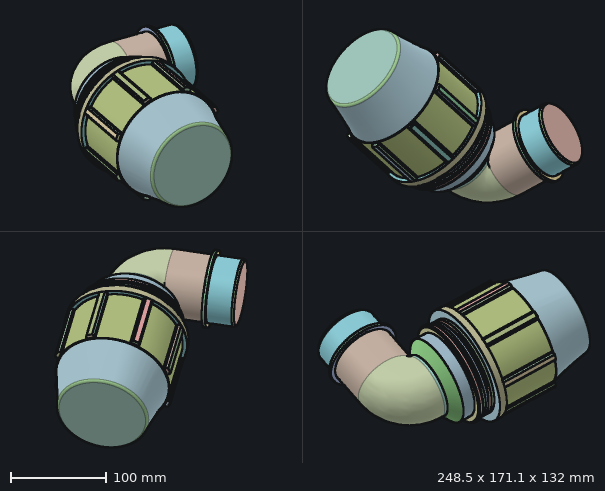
import cadquery as cq
import math


pipe_radius = 72.3 / 2
outlet_end = 105.1
outlet_chamfer_length = 2.5
outlet_chamfer_depth = 1.5
outlet_flange_radius = 83.0 / 2
outlet_flange_start = 71.8
outlet_flange_width = 3.5

bend_radius = 29.0

cone_start = 32.8
cone_end = 44.0
collar_radius = 99.0 / 2
lock_ring_start = 58.2
lock_ring_width = 6.7
lock_ring_radius = 114.8 / 2
lock_ring_chamfer = 1.5
thread_radius = 111.3 / 2
thread_starts = (68.0, 75.5)
thread_width = 3.5

nut_start = 79.0
nut_flange_radius = 132.0 / 2
nut_flange_width = 8.7
grip_start = nut_start + nut_flange_width
grip_radius = 61.1
grip_end = 154.3
nut_end = 248.5 - outlet_flange_radius
nut_end_radius = 49.0
taper_start_radius = 60.5
taper_sag = 0.7
nut_end_fillet = 3.0

rib_count = 8
rib_tip_width = 6.5
rib_root_width = 10.0
rib_shoulder_radius = 63.0
rib_tip_radius = nut_flange_radius - 0.2
rib_root_radius = grip_radius - 2.5
rib_end = grip_end - 1.0


def disc_x(start, width, radius):
    return cq.Workplane("YZ").workplane(offset=start).circle(radius).extrude(width)


def disc_y(start, width, radius):
    return cq.Workplane("XZ").workplane(offset=-start).circle(radius).extrude(-width)


def make_outlet():
    barrel_end = outlet_end - outlet_chamfer_length
    profile = (
        cq.Workplane("XY")
        .moveTo(0, bend_radius)
        .lineTo(pipe_radius, bend_radius)
        .lineTo(pipe_radius, barrel_end)
        .lineTo(pipe_radius - outlet_chamfer_depth, outlet_end)
        .lineTo(0, outlet_end)
        .close()
    )
    pipe = profile.revolve(360, (0, 0, 0), (0, 1, 0))
    return pipe.union(disc_y(outlet_flange_start, outlet_flange_width, outlet_flange_radius))


def make_elbow():
    half_chord = math.sqrt(pipe_radius**2 - bend_radius**2)
    section = (
        cq.Workplane("XZ", origin=(0, bend_radius, 0))
        .moveTo(bend_radius, half_chord)
        .threePointArc((-pipe_radius, 0), (bend_radius, -half_chord))
        .close()
    )
    return section.revolve(90, (bend_radius, 0, 0), (bend_radius, 1, 0))


def make_socket():
    neck = disc_x(bend_radius, cone_start - bend_radius, pipe_radius)
    body = (
        cq.Workplane("XY")
        .moveTo(cone_start, 0)
        .lineTo(cone_start, pipe_radius)
        .lineTo(cone_end, collar_radius)
        .lineTo(nut_start, collar_radius)
        .lineTo(nut_start, 0)
        .close()
        .revolve(360, (0, 0, 0), (1, 0, 0))
    )
    lock_ring = disc_x(lock_ring_start, lock_ring_width, lock_ring_radius).edges().chamfer(lock_ring_chamfer)
    socket = neck.union(body).union(lock_ring)
    for start in thread_starts:
        socket = socket.union(disc_x(start, thread_width, thread_radius))
    return socket


def make_ribs():
    rib = (
        cq.Workplane("YZ", origin=(grip_start, 0, 0))
        .moveTo(rib_root_radius, -rib_root_width / 2)
        .lineTo(rib_shoulder_radius, -rib_root_width / 2)
        .lineTo(rib_tip_radius, -rib_tip_width / 2)
        .lineTo(rib_tip_radius, rib_tip_width / 2)
        .lineTo(rib_shoulder_radius, rib_root_width / 2)
        .lineTo(rib_root_radius, rib_root_width / 2)
        .close()
        .extrude(rib_end - grip_start)
    )
    pitch = 360 / rib_count
    return [rib.rotate((0, 0, 0), (1, 0, 0), (i + 0.5) * pitch) for i in range(rib_count)]


def make_nut():
    middle_x = (grip_end + nut_end) / 2
    middle_radius = (taper_start_radius + nut_end_radius) / 2 - taper_sag
    nut = (
        cq.Workplane("XY")
        .moveTo(nut_start, 0)
        .lineTo(nut_start, nut_flange_radius)
        .lineTo(grip_start, nut_flange_radius)
        .lineTo(grip_start, grip_radius)
        .lineTo(grip_end, grip_radius)
        .lineTo(grip_end, taper_start_radius)
        .threePointArc((middle_x, middle_radius), (nut_end, nut_end_radius))
        .lineTo(nut_end, 0)
        .close()
        .revolve(360, (0, 0, 0), (1, 0, 0))
    )
    nut = nut.faces(">X").edges().fillet(nut_end_fillet)
    for rib in make_ribs():
        nut = nut.union(rib)
    return nut


result = make_outlet().union(make_elbow()).union(make_socket()).union(make_nut())